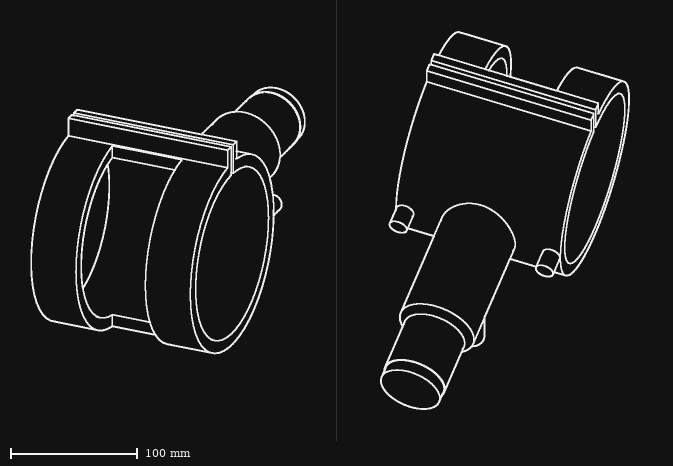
import cadquery as cq

ring_width = 138.0
ring_radius = 80.0
ring_inner_radius = 70.0
root_y = 71.8

slit_width = 3.8
flange_thickness = 6.7
flange_top = 95.0

window_width = 60.0
window_edge_y = -10.2

tower_end = 317.8 - ring_radius
tower_radius = 31.0
neck_radius = 25.5
tip_radius = 24.8
tip_length = 10.0
neck_and_tip_length = 56.0
neck_end = tower_end - tip_length
neck_start = tower_end - neck_and_tip_length
cone_length = 5.7
cone_start = neck_start - cone_length

bore_diameter = 30.0
bore_end = cone_start

peg_diameter = 14.5
peg_spacing = 122.7
peg_end = 96.0

rod_diameter = 20.3
rod_y = 95.0
rod_bottom = -124.5


def cylinder_along_y(diameter, start, end, x=0):
    """Cylinder from y = start to y = end, with its axis at z = 0."""
    return (
        cq.Workplane("XZ", origin=(x, start, 0))
        .circle(diameter / 2)
        .extrude(start - end)
    )


def cylinder_along_x(radius):
    """Cylinder on the ring axis, as wide as the ring."""
    return cq.Workplane("YZ", origin=(-ring_width / 2, 0, 0)).circle(radius).extrude(ring_width)


def make_tower():
    """Solid stepped tower, starting inside the ring wall."""
    return (
        cq.Workplane("XY")
        .moveTo(0, root_y)
        .lineTo(tower_radius, root_y)
        .lineTo(tower_radius, cone_start)
        .lineTo(neck_radius, neck_start)
        .lineTo(neck_radius, neck_end)
        .lineTo(tip_radius, neck_end)
        .lineTo(tip_radius, tower_end)
        .lineTo(0, tower_end)
        .close()
        .revolve(360, (0, 0, 0), (0, 1, 0))
    )


def make_flanges():
    """Block for both flanges, before the slit parts them."""
    flange_span = slit_width + 2 * flange_thickness
    return cq.Workplane("XY").box(
        ring_width, flange_span, flange_top, centered=(True, True, False)
    )


def make_slit():
    return cq.Workplane("XY").box(
        ring_width, slit_width, flange_top, centered=(True, True, False)
    )


def make_window():
    """Cutter for the ring wall on the -Y side of the window edge."""
    return (
        cq.Workplane("XY")
        .box(window_width, ring_radius, 2 * ring_radius)
        .translate((0, window_edge_y - ring_radius / 2, 0))
    )


def make_saddle():
    """Clamp ring with its flanges, tower and pegs."""
    saddle = cylinder_along_x(ring_radius)
    saddle = saddle.union(make_flanges())
    saddle = saddle.union(make_tower())
    for side in (-1, 1):
        peg_x = side * peg_spacing / 2
        saddle = saddle.union(cylinder_along_y(peg_diameter, root_y, peg_end, peg_x))
    saddle = saddle.cut(cylinder_along_x(ring_inner_radius))
    saddle = saddle.cut(make_slit())
    saddle = saddle.cut(make_window())
    return saddle.cut(cylinder_along_y(bore_diameter, 0, bore_end))


def make_rod():
    """Rod whose top end is shaped to sit against the tower."""
    rod = (
        cq.Workplane("XY", origin=(0, rod_y, rod_bottom))
        .circle(rod_diameter / 2)
        .extrude(-rod_bottom)
    )
    return rod.cut(make_tower())


saddle = make_saddle()
rod = make_rod()

result = cq.Compound.makeCompound([saddle.solids().val(), rod.solids().val()])